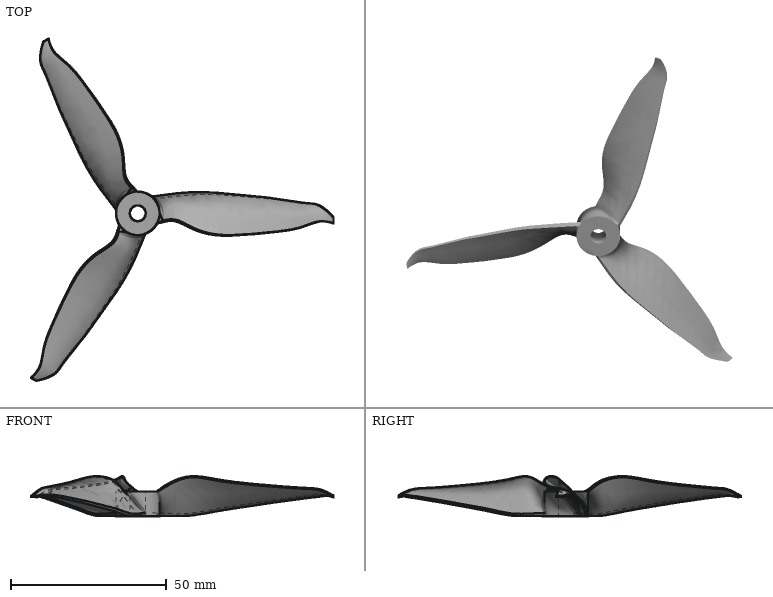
import cadquery as cq
import math

blade_count = 3
hub_diameter = 14.0
hub_height = 8.0
bore_diameter = 5.0
root_fillet = 0.8
hub_overrun = 8.0
flare_height = 7.0

blade_stations = [
    (4.0, (4.9, 0.65), (-3.3, 7.0), 1.6, 0.1),
    (7.0, (5.3, 0.55), (-2.85, 8.6), 1.6, 0.2),
    (11.0, (5.8, 0.47), (-2.15, 10.9), 1.5, 0.5),
    (17.0, (6.35, 0.6), (-4.5, 12.7), 1.4, 0.8),
    (24.0, (6.4, 1.8), (-6.75, 11.95), 1.3, 0.9),
    (32.0, (5.75, 3.1), (-7.0, 10.75), 1.2, 0.8),
    (43.0, (4.75, 4.7), (-6.1, 9.75), 1.0, 0.6),
    (54.0, (3.2, 6.15), (-4.0, 9.0), 0.9, 0.4),
    (58.5, (2.35, 6.65), (-2.6, 8.5), 0.8, 0.3),
    (61.0, (0.6, 6.8), (-2.75, 7.5), 0.6, 0.15),
    (62.9, (-1.3, 6.35), (-3.3, 6.35), 0.5, 0.05),
]
leading_edge_ratio = 0.85
trailing_edge_ratio = 0.45

section_count = 31

blade_start = blade_stations[0][0]
blade_tip = blade_stations[-1][0]
blade_spacing = 360 / blade_count
hub_radius = hub_diameter / 2
root_tolerance = 0.02


def curve_along_blade(pairs):
    """Spline through (distance, a, b) points, with the distance as its parameter."""
    distances = [station[0] for station in blade_stations]
    points = [cq.Vector(distance, *pair) for distance, pair in zip(distances, pairs)]
    return cq.Edge.makeSpline(points, parameters=distances)


leading_edge = curve_along_blade([station[1] for station in blade_stations])
trailing_edge = curve_along_blade([station[2] for station in blade_stations])
thickness_and_camber = curve_along_blade([station[3:] for station in blade_stations])


def blade_section(distance):
    """Closed airfoil-like wire in the plane X = distance."""
    leading = leading_edge.positionAt(distance, mode="parameter")
    trailing = trailing_edge.positionAt(distance, mode="parameter")
    _, thickness, camber = thickness_and_camber.positionAt(distance, mode="parameter").toTuple()
    chord = trailing - leading
    upward = cq.Vector(1, 0, 0).cross(chord).normalized() * -1

    def point(fraction, offset):
        """Point at a fraction of the chord, offset towards the upper side."""
        return leading + chord * fraction + upward * offset

    half = thickness / 2
    half_leading = half * leading_edge_ratio
    half_trailing = half * trailing_edge_ratio
    upper = cq.Edge.makeThreePointArc(
        point(0, half_leading), point(0.5, camber + half), point(1, half_trailing)
    )
    lower = cq.Edge.makeSpline(
        [point(1, -half_trailing), point(0.5, camber - half), point(0, -half_leading)]
    )
    trailing_end = cq.Edge.makeLine(point(1, half_trailing), point(1, -half_trailing))
    leading_end = cq.Edge.makeLine(point(0, -half_leading), point(0, half_leading))
    return cq.Wire.assembleEdges([upper, trailing_end, lower, leading_end])


def make_blade():
    """One blade along +X, starting inside the hub."""
    step = (blade_tip - blade_start) / (section_count - 1)
    sections = [blade_section(blade_start + index * step) for index in range(section_count)]
    return cq.Workplane(cq.Solid.makeLoft(sections))


def hub_cylinder(bottom, top):
    """Cylinder of the hub diameter, its seam line turned midway between two blades."""
    cylinder = cq.Workplane().workplane(offset=bottom).circle(hub_radius).extrude(top - bottom)
    return cylinder.rotate((0, 0, 0), (0, 0, 1), blade_spacing / 2)


def is_root_edge(edge):
    """True for the edges where a blade meets the side of the hub."""
    if edge.geomType() in ("CIRCLE", "LINE"):
        return False
    points = [edge.positionAt(fraction) for fraction in (0, 0.5, 1)]
    return all(abs(math.hypot(point.x, point.y) - hub_radius) < root_tolerance for point in points)


def make_propeller():
    """Hub with evenly spaced blades, filleted at the roots, trimmed to height and bored."""
    body = hub_cylinder(-hub_overrun, hub_height + hub_overrun)
    blade = make_blade()
    for index in range(blade_count):
        body = body.union(blade.rotate((0, 0, 0), (0, 0, 1), index * blade_spacing))

    root_edges = [edge for edge in body.edges().vals() if is_root_edge(edge)]
    body = body.newObject(root_edges).fillet(root_fillet)

    below_base = cq.Workplane().circle(blade_tip).extrude(-2 * hub_overrun)
    flare = cq.Workplane(
        cq.Solid.makeCone(hub_radius, hub_radius + flare_height, flare_height, cq.Vector(0, 0, hub_height))
    )
    above_hub = hub_cylinder(hub_height, hub_height + 2 * hub_overrun).union(flare)
    bore = cq.Workplane().circle(bore_diameter / 2).extrude(hub_height)
    return body.cut(below_base).cut(above_hub).cut(bore)


result = make_propeller()